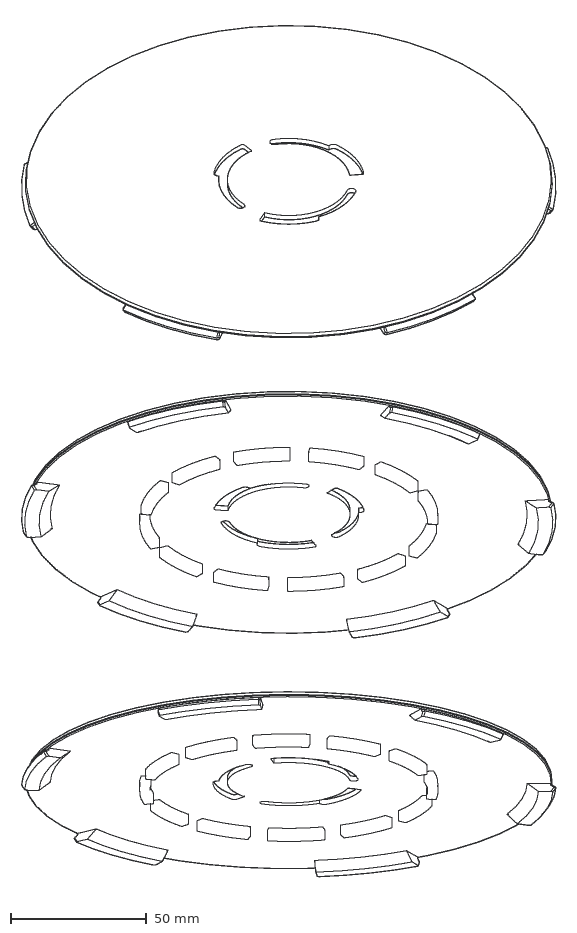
import cadquery as cq
import math

disc_diameter = 194.2
disc_thickness = 2.0
rim_bevel_width = 0.4
top_bevel_height = 1.2
bottom_bevel_height = 0.4

clip_count = 6
clip_half_angle = 11.7
clip_tip_radius = 98.5
clip_root_radius = 96.5
clip_inner_root_radius = 87.9
clip_inner_foot_radius = 92.0
clip_outer_foot_radius = 97.3
clip_tip_depth = 3.3
clip_depth = 5.1
clip_nose_chamfer = 0.5

block_count = 12
block_half_angle = 11.2
block_inner_radius = 51.2
block_outer_radius = 55.0
block_depth = 6.0
block_edge_radius = 0.4

slot_count = 3
slot_inner_radius = 22.7
slot_narrow_radius = 25.8
slot_wide_radius = 28.0
slot_start_angle = 64.0
slot_step_angle = 112.0
slot_end_angle = 163.5
slot_corner_radius = 1.0
slot_step_radius = 2.0

overlap = 0.4


def polar(radius, angle):
    turn = math.radians(angle)
    return (radius * math.cos(turn), radius * math.sin(turn))


def ring_sector(inner, outer, start, end, bottom, height):
    """Solid ring sector between two angles, standing on Z = bottom."""
    middle = (start + end) / 2
    return (
        cq.Workplane("XY", origin=(0, 0, bottom))
        .moveTo(*polar(inner, start))
        .lineTo(*polar(outer, start))
        .threePointArc(polar(outer, middle), polar(outer, end))
        .lineTo(*polar(inner, end))
        .threePointArc(polar(inner, middle), polar(inner, start))
        .close()
        .extrude(height)
    )


def around_axis(shape, count):
    """Equally spaced copies of a shape around the Z axis."""
    return [shape.rotate((0, 0, 0), (0, 0, 1), i * 360 / count) for i in range(count)]


def make_disc():
    disc = cq.Workplane("XY").circle(disc_diameter / 2).extrude(-disc_thickness)
    disc = disc.faces(">Z").chamfer(top_bevel_height, rim_bevel_width)
    return disc.faces("<Z").chamfer(bottom_bevel_height, rim_bevel_width)


def is_nose_end_edge(edge):
    """True for the straight edges that bound the hook nose on its end faces."""
    middle = edge.Center()
    return math.hypot(middle.x, middle.y) > clip_outer_foot_radius


def make_clip():
    """Hooked rim clip, revolved about Z and centred on the +X axis."""
    top = overlap - disc_thickness
    profile = [
        (clip_inner_root_radius, top),
        (clip_root_radius, top),
        (clip_root_radius, -disc_thickness),
        (clip_tip_radius, -clip_tip_depth),
        (clip_outer_foot_radius, -clip_depth),
        (clip_inner_foot_radius, -clip_depth),
        (clip_inner_root_radius, -disc_thickness),
    ]
    clip = cq.Workplane("XZ").polyline(profile).close().revolve(2 * clip_half_angle, (0, 0), (0, 1))
    clip = clip.rotate((0, 0, 0), (0, 0, 1), -clip_half_angle)
    nose_ends = [edge for edge in clip.edges("%LINE").vals() if is_nose_end_edge(edge)]
    return clip.newObject(nose_ends).chamfer(clip_nose_chamfer)


def make_block():
    """Curved block centred half a pitch away from the +X axis."""
    centre = 180 / block_count
    block = ring_sector(
        block_inner_radius,
        block_outer_radius,
        centre - block_half_angle,
        centre + block_half_angle,
        -block_depth,
        block_depth - disc_thickness + overlap,
    )
    return block.edges("|Z or <Z").fillet(block_edge_radius)


def round_upright_edge(shape, corner, radius):
    """Fillet the vertical edge closest to a plan position."""
    nearest = cq.NearestToPointSelector((*corner, -disc_thickness / 2))
    return shape.edges("|Z").edges(nearest).fillet(radius)


def make_slot():
    """Arc slot: wide with a square end at its start, narrow with a round end at its finish."""
    wide = ring_sector(
        slot_inner_radius, slot_wide_radius, slot_start_angle, slot_step_angle, -disc_thickness, disc_thickness
    )
    wide = round_upright_edge(wide, polar(slot_wide_radius, slot_start_angle), slot_corner_radius)
    wide = round_upright_edge(wide, polar(slot_wide_radius, slot_step_angle), slot_step_radius)
    end_radius = (slot_narrow_radius - slot_inner_radius) / 2
    end_centre_radius = slot_inner_radius + end_radius
    end_centre_angle = slot_end_angle - math.degrees(end_radius / end_centre_radius)
    overlap_angle = (slot_start_angle + slot_step_angle) / 2
    narrow = ring_sector(
        slot_inner_radius, slot_narrow_radius, overlap_angle, end_centre_angle, -disc_thickness, disc_thickness
    )
    round_end = (
        cq.Workplane("XY")
        .center(*polar(end_centre_radius, end_centre_angle))
        .circle(end_radius)
        .extrude(-disc_thickness)
    )
    return wide.union(narrow).union(round_end)


result = make_disc()
for clip in around_axis(make_clip(), clip_count):
    result = result.union(clip)
for block in around_axis(make_block(), block_count):
    result = result.union(block)
for slot in around_axis(make_slot(), slot_count):
    result = result.cut(slot)